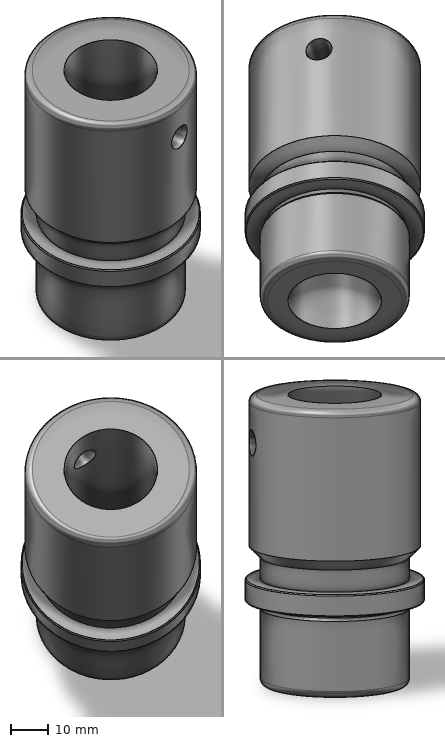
import cadquery as cq

body_radius = 23.0
neck_radius = 20.0
collar_radius = 24.0
groove_radius = 19.35
bore_radius = 12.5

total_height = 79.0
groove_taper_bottom = 21.0
groove_taper_top = 21.8
collar_bottom = 23.0
collar_top = 29.0
body_bottom = 38.0
shoulder_bottom = body_bottom - (body_radius - neck_radius)

end_fillet = 2.0
collar_chamfer = 0.3

side_hole_diameter = 7.0
side_hole_below_top = 12.0
side_hole_height = total_height - side_hole_below_top


def turned_blank():
    """Revolve the stepped outer profile, before edge rounding."""
    profile = [
        (0, 0),
        (neck_radius, 0),
        (neck_radius, groove_taper_bottom),
        (groove_radius, groove_taper_top),
        (groove_radius, collar_bottom),
        (collar_radius - collar_chamfer, collar_bottom),
        (collar_radius, collar_bottom + collar_chamfer),
        (collar_radius, collar_top - collar_chamfer),
        (collar_radius - collar_chamfer, collar_top),
        (neck_radius, collar_top),
        (neck_radius, shoulder_bottom),
        (body_radius, body_bottom),
        (body_radius, total_height),
        (0, total_height),
    ]
    return cq.Workplane("XZ").polyline(profile).close().revolve(360, (0, 0), (0, 1))


def through_bore():
    """Cylinder that clears the full length of the part."""
    return cq.Workplane("XY").circle(bore_radius).extrude(total_height)


def side_hole():
    """Cylinder from the axis out through the +X wall only."""
    return (
        cq.Workplane("YZ")
        .center(0, side_hole_height)
        .circle(side_hole_diameter / 2)
        .extrude(collar_radius)
    )


blank = turned_blank().faces("<Z or >Z").edges().fillet(end_fillet)
result = blank.cut(through_bore()).cut(side_hole())